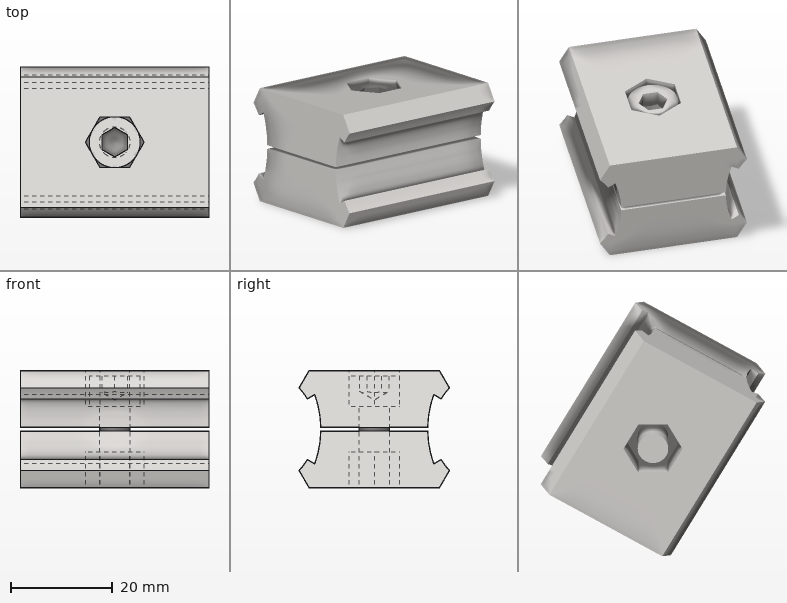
import cadquery as cq
import math


length = 37.0
half_height = 11.5
half_gap = 0.37
tip_half_width = 14.75
bevel_height = 3.4
bevel_angle = 60.0
waist_half_width = 10.5
groove_radius = 19.98
groove_half_height = 6.77
lip_radius = 11.85
lip_angle = 30.0

shank_diameter = 6.0
head_diameter = 10.0
head_height = 6.0
head_recess = 1.05
socket_width = 5.0
socket_depth = 3.07
socket_cone_angle = 120.0

tip_height = half_height - bevel_height
top_half_width = tip_half_width - bevel_height / math.tan(math.radians(bevel_angle))
lip_axis = tip_half_width + math.sqrt(lip_radius**2 - tip_height**2)
groove_axis = waist_half_width + groove_radius
pocket_width = head_diameter
head_top = half_height - head_recess
seat_height = head_top - head_height


def hexagon_diameter(across_flats):
    return across_flats / math.cos(math.radians(30))


def groove_point(height):
    return (groove_axis - math.sqrt(groove_radius**2 - height**2), height)


def lip_point(angle):
    turn = math.radians(angle)
    return (lip_axis - lip_radius * math.cos(turn), lip_radius * math.sin(turn))


def mirrored(point):
    return (-point[0], point[1])


def make_jaw():
    """Upper jaw, with a hexagonal pocket and a clearance hole for the screw."""
    top = (top_half_width, half_height)
    tip = (tip_half_width, tip_height)
    tip_angle = math.degrees(math.asin(tip_height / lip_radius))
    lip_middle = lip_point((tip_angle + lip_angle) / 2)
    lip_end = lip_point(lip_angle)
    groove_start = groove_point(groove_half_height)
    groove_middle = groove_point((groove_half_height + half_gap) / 2)
    waist = groove_point(half_gap)

    jaw = (
        cq.Workplane("YZ", origin=(-length / 2, 0, 0))
        .moveTo(*top)
        .lineTo(*tip)
        .threePointArc(lip_middle, lip_end)
        .lineTo(*groove_start)
        .threePointArc(groove_middle, waist)
        .lineTo(*mirrored(waist))
        .threePointArc(mirrored(groove_middle), mirrored(groove_start))
        .lineTo(*mirrored(lip_end))
        .threePointArc(mirrored(lip_middle), mirrored(tip))
        .lineTo(*mirrored(top))
        .close()
        .extrude(length)
    )
    pocket = (
        cq.Workplane("XY", origin=(0, 0, seat_height))
        .polygon(6, hexagon_diameter(pocket_width))
        .extrude(half_height - seat_height)
    )
    hole = cq.Workplane("XY").circle(shank_diameter / 2).extrude(half_height)
    return jaw.cut(pocket).cut(hole)


def make_socket():
    """Hexagonal socket with corners along Y and a conical floor."""
    floor_height = head_top - socket_depth
    corner_radius = hexagon_diameter(socket_width) / 2
    cone_depth = corner_radius / math.tan(math.radians(socket_cone_angle / 2))
    hexagon = (
        cq.Workplane("XY", origin=(0, 0, floor_height - cone_depth))
        .transformed(rotate=(0, 0, 90))
        .polygon(6, 2 * corner_radius)
        .extrude(socket_depth + cone_depth)
    )
    drilled = (
        cq.Workplane("XZ")
        .moveTo(0, floor_height - cone_depth)
        .lineTo(corner_radius, floor_height)
        .lineTo(corner_radius, head_top)
        .lineTo(0, head_top)
        .close()
        .revolve(360, (0, 0, 0), (0, 1, 0))
    )
    return hexagon.intersect(drilled)


def make_screw():
    """Socket head screw whose shank ends flush with the underside of the lower jaw."""
    head = (
        cq.Workplane("XY", origin=(0, 0, seat_height))
        .circle(head_diameter / 2)
        .extrude(head_height)
    )
    shank = (
        cq.Workplane("XY", origin=(0, 0, -half_height))
        .circle(shank_diameter / 2)
        .extrude(half_height + seat_height)
    )
    return head.union(shank).cut(make_socket())


upper_jaw = make_jaw()
lower_jaw = upper_jaw.mirror("XY")
screw = make_screw()

result = cq.Compound.makeCompound([upper_jaw.val(), lower_jaw.val(), screw.val()])